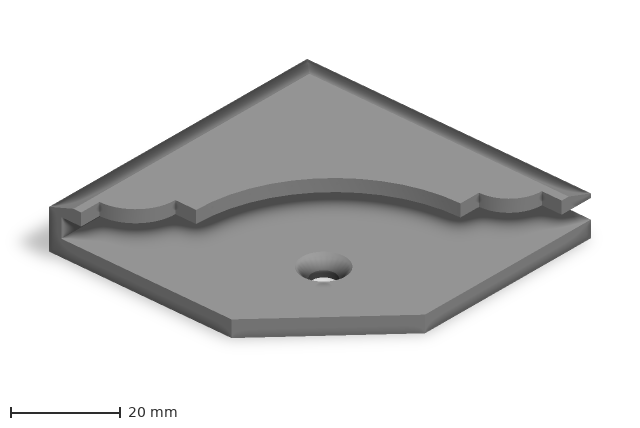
import cadquery as cq
import math

side = 70.0
height = 11.6
corner_cut = 25.0

base_thickness = 4.0
wall_thickness = 3.0
top_thickness = 3.0

bevel_width = 6.0
bevel_drop = 2.0

edge_inset = 7.9
edge_end = 5.0
lower_cove_radius = 9.8
upper_cove_radius = 8.1
arch_radius = 34.15
arch_center_x = 57.0
arch_center_y = edge_end + lower_cove_radius

hole_x = side - corner_cut
hole_y = corner_cut
hole_diameter = 5.5
sink_diameter = 10.5
sink_angle = 90.0


def arc_midpoint(center_x, center_y, radius, degrees):
    angle = math.radians(degrees)
    return center_x + radius * math.cos(angle), center_y + radius * math.sin(angle)


def make_base():
    """Pentagonal plate with the countersunk hole."""
    return (
        cq.Workplane("XY")
        .polyline([(0, 0), (side - corner_cut, 0), (side, corner_cut), (side, side), (0, side)])
        .close()
        .extrude(base_thickness)
        .faces(">Z")
        .workplane(origin=(hole_x, hole_y, base_thickness))
        .cskHole(hole_diameter, sink_diameter, sink_angle)
    )


def make_wall():
    """Wall along the -X side; the gap between the plates is open on the other sides."""
    return cq.Workplane("XY").box(wall_thickness, side, height, centered=False)


def make_top():
    """Top plate whose free edge steps through a cove, an arch and a second cove."""
    upper_cove_y = side - edge_inset
    lower_cove = arc_midpoint(edge_inset, arch_center_y, lower_cove_radius, -45)
    arch = arc_midpoint(arch_center_x, arch_center_y, arch_radius, 135)
    upper_cove = arc_midpoint(arch_center_x, upper_cove_y, upper_cove_radius, -45)
    return (
        cq.Workplane("XY", origin=(0, 0, height - top_thickness))
        .moveTo(0, 0)
        .lineTo(edge_inset, 0)
        .lineTo(edge_inset, edge_end)
        .threePointArc(lower_cove, (edge_inset + lower_cove_radius, arch_center_y))
        .lineTo(arch_center_x - arch_radius, arch_center_y)
        .threePointArc(arch, (arch_center_x, arch_center_y + arch_radius))
        .lineTo(arch_center_x, upper_cove_y - upper_cove_radius)
        .threePointArc(upper_cove, (arch_center_x + upper_cove_radius, upper_cove_y))
        .lineTo(side, upper_cove_y)
        .lineTo(side, side)
        .lineTo(0, side)
        .close()
        .extrude(top_thickness)
    )


def bevel_top_edges(body):
    """Slope the top along the -X and +Y sides, meeting in a mitre at their corner."""
    left = (
        cq.Workplane("XZ")
        .polyline([(0, height - bevel_drop), (bevel_width, height), (0, height)])
        .close()
        .extrude(-side)
    )
    back = (
        cq.Workplane("YZ")
        .polyline([(side, height - bevel_drop), (side - bevel_width, height), (side, height)])
        .close()
        .extrude(side)
    )
    return body.cut(left).cut(back)


result = bevel_top_edges(make_base().union(make_wall()).union(make_top()))